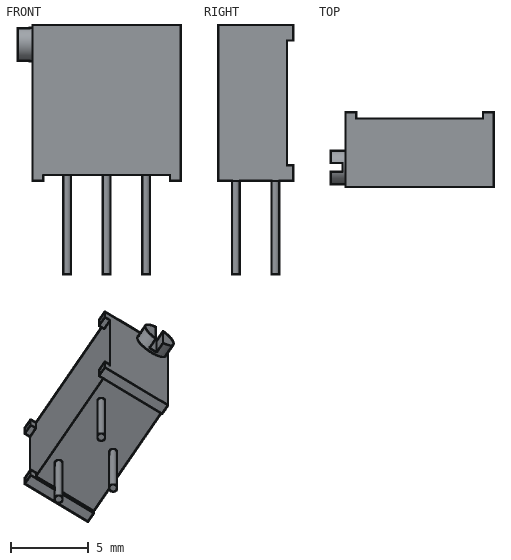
import cadquery as cq

total_height = 16.05
body_width = 9.53
body_depth = 4.83
body_height = 10.03
body_bottom = total_height - body_height

standoff_width = 0.7
foot_height = 0.37
back_recess_depth = 0.4
back_standoff_height = 1.01

pin_diameter = 0.51
pin_pitch = 2.54
front_pin_y = 1.14
pin_embed = 0.16

screw_diameter = 2.18
screw_length = 0.95
screw_y = 1.27
screw_z = total_height - 1.27
slot_width = 0.55
slot_depth = 0.75


def block(x_size, y_size, z_size, corner):
    """Box placed by its minimum corner."""
    return cq.Workplane("XY").box(x_size, y_size, z_size, centered=False).translate(corner)


def make_body():
    body = block(body_width, body_depth, body_height, (0, 0, body_bottom))
    gap_width = body_width - 2 * standoff_width
    gap_height = body_height - 2 * back_standoff_height
    recess_y = body_depth - back_recess_depth
    body = body.cut(block(gap_width, body_depth, foot_height, (standoff_width, 0, body_bottom)))
    body = body.cut(
        block(gap_width, back_recess_depth, body_height, (standoff_width, recess_y, body_bottom))
    )
    return body.cut(
        block(
            body_width,
            back_recess_depth,
            gap_height,
            (0, recess_y, body_bottom + back_standoff_height),
        )
    )


def make_pin(x, y):
    pin_length = body_bottom + foot_height + pin_embed
    return cq.Workplane("XY").center(x, y).circle(pin_diameter / 2).extrude(pin_length)


def make_screw():
    screw = (
        cq.Workplane("YZ", origin=(-screw_length, screw_y, screw_z))
        .circle(screw_diameter / 2)
        .extrude(screw_length)
    )
    slot_corner = (-screw_length, screw_y - slot_width / 2, screw_z - screw_diameter / 2)
    return screw.cut(block(slot_depth, slot_width, screw_diameter, slot_corner))


result = make_body().union(make_screw())

for position in (-1, 0, 1):
    pin_y = front_pin_y if position == 0 else front_pin_y + pin_pitch
    result = result.union(make_pin(body_width / 2 + position * pin_pitch, pin_y))